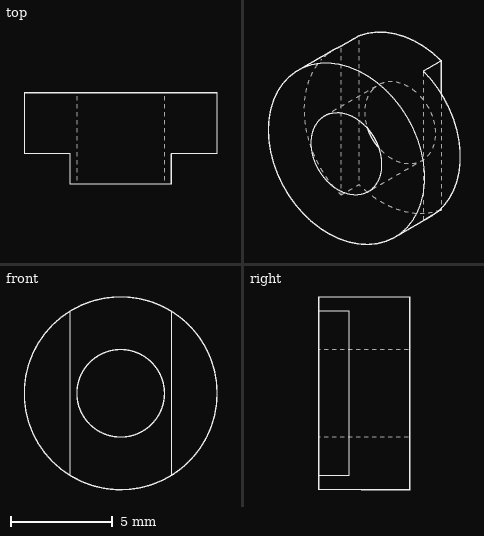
import cadquery as cq

outer_diameter = 9.5
bore_diameter = 4.3
total_length = 4.5
tongue_height = 1.5
tongue_width = 5.0

disc_thickness = total_length - tongue_height


def cylinder_along_y(diameter, y_start, length):
    """Cylinder on the Y axis, growing from y_start toward +Y."""
    profile = cq.Workplane("XZ", origin=(0, y_start, 0)).circle(diameter / 2)
    return profile.extrude(-length)


def make_disc():
    """Round disc whose shoulder face lies on the XZ plane."""
    return cylinder_along_y(outer_diameter, 0, disc_thickness)


def make_tongue():
    """Tongue across the disc, flat on both X sides and round at its Z ends."""
    round_blank = cylinder_along_y(outer_diameter, -tongue_height, total_length)
    flat_bar = cq.Workplane("XY").box(tongue_width, 2 * total_length, outer_diameter)
    return round_blank.intersect(flat_bar)


def make_bore():
    """Through bore along the full length of the part."""
    return cylinder_along_y(bore_diameter, -tongue_height, total_length)


result = make_disc().union(make_tongue()).cut(make_bore())